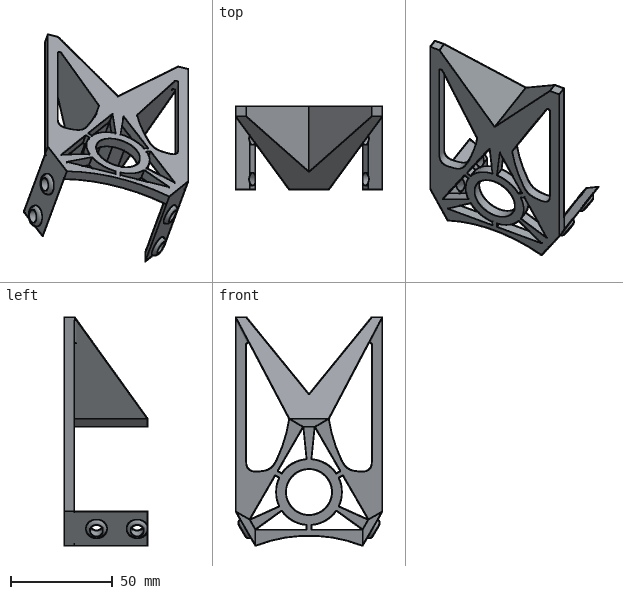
import cadquery as cq
import math

plate_thickness = 5.0
total_depth = 41.0
top_z = 86.0

bore_radius = 11.25
ring_radius = 16.25
spoke_width = 2.5

corner_inner = 32.0
corner_outer = 36.0
corner_inner_half = 2.84
corner_flare = math.radians(60.0)
corner_outer_half = corner_inner_half + (corner_outer - corner_inner) * math.tan(corner_flare)
nose_angle = 90.0
foot_angles = (-30.0, 210.0)
corner_angles = (nose_angle,) + foot_angles
web_angles = tuple(angle + 180.0 for angle in corner_angles)
right_side_angle = (nose_angle + foot_angles[0]) / 2

side_arc_distance = 21.5

rail_width = 5.2
notch_z = 48.1
window_floor_x = 24.2
window_floor_z = 10.2
window_rail_end_z = 15.2
window_arc_end_z = 15.7
window_tip_fillet = 0.9
horn_root_fillet = 1.1

hole_radius = 3.2
collar_height = 2.0
collar_radius = hole_radius + collar_height
hole_pitch = 20.0
first_hole_depth = 15.85
hole_depths = (first_hole_depth, first_hole_depth + hole_pitch)


def polar_point(angle, radial, across):
    """XZ point at a radial distance along an angle, shifted sideways counterclockwise."""
    cos_a = math.cos(math.radians(angle))
    sin_a = math.sin(math.radians(angle))
    return (radial * cos_a - across * sin_a, radial * sin_a + across * cos_a)


def mirrored(point):
    return (-point[0], point[1])


def prism(points, depth):
    """Closed XZ polygon extruded from the back face toward -Y."""
    return cq.Workplane("XZ").polyline(points).close().extrude(depth)


def mirrored_pair(body):
    return body.union(body.mirror("YZ"))


nose_corner = polar_point(nose_angle, corner_outer, -corner_outer_half)
foot_top = polar_point(foot_angles[0], corner_outer, corner_outer_half)
foot_bottom = polar_point(foot_angles[0], corner_outer, -corner_outer_half)
half_width = foot_top[0]
rail_inner_x = half_width - rail_width
horn_tip = (half_width, top_z)
horn_tip_inner = (rail_inner_x, top_z)
notch = (0, notch_z)


def outline_prism(depth):
    """Whole XZ outline extruded from the back face."""
    return (
        cq.Workplane("XZ")
        .moveTo(*notch)
        .lineTo(*horn_tip_inner)
        .lineTo(*horn_tip)
        .lineTo(*foot_top)
        .lineTo(*foot_bottom)
        .threePointArc((0, -side_arc_distance), mirrored(foot_bottom))
        .lineTo(*mirrored(foot_top))
        .lineTo(*mirrored(horn_tip))
        .lineTo(*mirrored(horn_tip_inner))
        .close()
        .extrude(depth)
    )


def corner_block(angle):
    points = [
        polar_point(angle, corner_inner, -corner_inner_half),
        polar_point(angle, corner_outer, -corner_outer_half),
        polar_point(angle, corner_outer, corner_outer_half),
        polar_point(angle, corner_inner, corner_inner_half),
    ]
    return prism(points, total_depth)


def slope_envelope():
    """Block under the sloping front: full depth at the nose, plate thickness at the tips."""
    side = [
        (0, 0),
        (-total_depth, 0),
        (-total_depth, corner_outer),
        (-plate_thickness, top_z),
        (0, top_z),
    ]
    return cq.Workplane("YZ").polyline(side).close().extrude(half_width, both=True)


def wedge():
    """Nose block and the two horns rising from it."""
    nose_inner = polar_point(nose_angle, corner_inner, -corner_inner_half)
    points = [
        nose_inner,
        nose_corner,
        horn_tip,
        horn_tip_inner,
        notch,
        mirrored(horn_tip_inner),
        mirrored(horn_tip),
        mirrored(nose_corner),
        mirrored(nose_inner),
    ]
    return prism(points, total_depth)


def side_arc_center_distance():
    """Distance from the bore axis to the centre of a side arc."""
    chord_distance = -foot_bottom[1]
    rise = chord_distance - side_arc_distance
    radius = (foot_bottom[0] ** 2 + rise ** 2) / (2 * rise)
    return side_arc_distance + radius


def window():
    """Right-hand opening between rail, horn and the concave side arc."""
    horn_slope = (horn_tip[1] - nose_corner[1]) / (horn_tip[0] - nose_corner[0])
    window_tip = (rail_inner_x, top_z - rail_width * horn_slope)
    center_distance = side_arc_center_distance()
    center = polar_point(right_side_angle, center_distance, 0)
    radius = center_distance - side_arc_distance
    drop = center[1] - window_arc_end_z
    reach = math.sqrt(radius ** 2 - drop ** 2)
    arc_end = (center[0] - reach, window_arc_end_z)
    rail_end = (rail_inner_x, window_rail_end_z)
    start_angle = math.atan2(nose_corner[1] - center[1], nose_corner[0] - center[0]) % math.tau
    end_angle = math.atan2(-drop, -reach) % math.tau
    middle_angle = (start_angle + end_angle) / 2
    arc_middle = (
        center[0] + radius * math.cos(middle_angle),
        center[1] + radius * math.sin(middle_angle),
    )
    blank = (
        cq.Workplane("XZ")
        .moveTo(*window_tip)
        .lineTo(*nose_corner)
        .threePointArc(arc_middle, arc_end)
        .spline(
            [(window_floor_x, window_floor_z), rail_end],
            tangents=[(drop / radius, -reach / radius), (0, 1)],
            includeCurrent=True,
        )
        .close()
        .extrude(total_depth)
    )
    tip_edge = cq.selectors.NearestToPointSelector((window_tip[0], -total_depth / 2, window_tip[1]))
    return blank.edges("|Y").edges(tip_edge).fillet(window_tip_fillet)


def horn_root():
    """Concave fillet in the right-hand corner between the plate front and the horn side."""
    run = (nose_corner[0] - horn_tip[0], nose_corner[1] - horn_tip[1])
    section_plane = cq.Plane(
        origin=(horn_tip[0], -plate_thickness, horn_tip[1]),
        xDir=(-run[1], 0, run[0]),
        normal=(run[0], 0, run[1]),
    )
    near = horn_root_fillet * (1 - math.sqrt(0.5))
    return (
        cq.Workplane(section_plane)
        .lineTo(horn_root_fillet, 0)
        .threePointArc((near, near), (0, horn_root_fillet))
        .close()
        .extrude(math.hypot(*run))
    )


def spoke(angle):
    """Tapered spoke from the ring out to a corner block."""
    points = [
        polar_point(angle, bore_radius, -spoke_width / 2),
        polar_point(angle, ring_radius, -spoke_width / 2),
        polar_point(angle, corner_inner, -corner_inner_half),
        polar_point(angle, corner_inner, corner_inner_half),
        polar_point(angle, ring_radius, spoke_width / 2),
        polar_point(angle, bore_radius, spoke_width / 2),
    ]
    return prism(points, plate_thickness)


def web(angle):
    """Short straight rib from the ring to the middle of a triangle side."""
    points = [
        polar_point(angle, bore_radius, -spoke_width / 2),
        polar_point(angle, corner_inner, -spoke_width / 2),
        polar_point(angle, corner_inner, spoke_width / 2),
        polar_point(angle, bore_radius, spoke_width / 2),
    ]
    return prism(points, plate_thickness)


def hub_openings():
    """Triangle with cut corners, less the ring, the spokes and the webs."""
    points = []
    for angle in sorted(corner_angles):
        points.append(polar_point(angle, corner_inner, -corner_inner_half))
        points.append(polar_point(angle, corner_inner, corner_inner_half))
    openings = prism(points, plate_thickness)
    openings = openings.cut(cq.Workplane("XZ").circle(ring_radius).extrude(plate_thickness))
    for angle in corner_angles:
        openings = openings.cut(spoke(angle))
    for angle in web_angles:
        openings = openings.cut(web(angle))
    return openings


def foot_plane(depth):
    """Plane on the right-hand foot's outer face, facing outward, centred on a hole."""
    center = polar_point(foot_angles[0], corner_outer, 0)
    outward = polar_point(foot_angles[0], 1, 0)
    return cq.Plane(
        origin=(center[0], -depth, center[1]),
        xDir=(0, 1, 0),
        normal=(outward[0], 0, outward[1]),
    )


def collar(depth):
    """Quarter-round collar standing on the foot's outer face."""
    corner_drop = collar_height * math.sqrt(0.5)
    dome = (
        cq.Workplane("XZ")
        .lineTo(collar_radius, 0)
        .threePointArc((hole_radius + corner_drop, corner_drop), (hole_radius, collar_height))
        .lineTo(0, collar_height)
        .close()
        .revolve(360, (0, 0), (0, 1))
    )
    return cq.Workplane(dome.val().moved(cq.Location(foot_plane(depth))))


def bolt_hole(depth):
    foot_thickness = corner_outer - corner_inner
    return (
        cq.Workplane(foot_plane(depth))
        .workplane(offset=-2 * foot_thickness)
        .circle(hole_radius)
        .extrude(2 * foot_thickness + 2 * collar_height)
    )


def build():
    plate = outline_prism(plate_thickness).cut(mirrored_pair(window()))
    envelope = slope_envelope()
    horns = wedge().intersect(envelope)
    root = horn_root().intersect(outline_prism(total_depth)).intersect(envelope).cut(window())
    body = plate.union(horns).union(mirrored_pair(root))
    body = body.cut(hub_openings())
    body = body.cut(cq.Workplane("XZ").circle(bore_radius).extrude(plate_thickness))
    for angle in foot_angles:
        body = body.union(corner_block(angle))
    for depth in hole_depths:
        body = body.union(mirrored_pair(collar(depth)))
    for depth in hole_depths:
        body = body.cut(mirrored_pair(bolt_hole(depth)))
    return body


result = build()